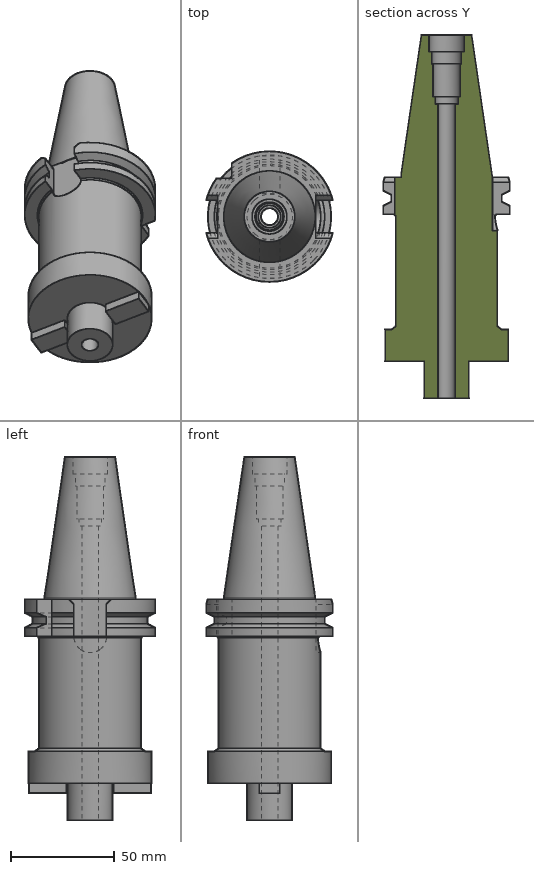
import cadquery as cq

TOTAL_HEIGHT = 176.4
HEAD_BOTTOM = 18.0
HEAD_TOP = 33.5
BODY_BOTTOM = 35.0
FLANGE_BOTTOM = 89.3
FLANGE_TOP = 107.5
GAUGE_LINE = 108.3

PILOT_RADIUS = 11.0
HEAD_RADIUS = 30.0
BODY_RADIUS = 24.9
BODY_FOOT_RADIUS = 26.8
FLANGE_RADIUS = 31.8
GAUGE_RADIUS = 22.2
TAPER_SLOPE = 7 / 48
TAPER_TOP_RADIUS = GAUGE_RADIUS - TAPER_SLOPE * (TOTAL_HEIGHT - GAUGE_LINE)
FLARE = 0.7

GROOVE_RADIUS = 28.0
GROOVE_BOTTOM = 93.5
GROOVE_TOP = 100.7
GROOVE_FLANK = 2.0

THROUGH_RADIUS = 4.0
THREAD_RADIUS = 7.0
THREAD_DEPTH = 14.1
THREAD_CORE_RADIUS = 6.5
THREAD_CORE_DEPTH = 30.0
RELIEF_RADIUS = 5.5
RELIEF_DEPTH = 33.5
COUNTERBORE_RADIUS = 8.5
COUNTERBORE_DEPTH = 8.1

SLOT_HALF_WIDTH = 8.0
SLOT_CHAMFER = 2.5
SHALLOW_SLOT_FLOOR = 25.2
DEEP_SLOT_FLOOR = 22.4
DEEP_SLOT_END = 81.5
CLEARANCE = 1.8

NOTCH_X = -18.3
NOTCH_Y = 18.5

KEY_WIDTH = 10.0
KEY_HEIGHT = 4.8
KEY_INNER = 11.3
KEY_OUTER = 29.6


def turned_body():
    """Pilot, head, body, grooved flange and taper as one revolved profile."""
    profile = [
        (0, 0),
        (PILOT_RADIUS, 0),
        (PILOT_RADIUS, HEAD_BOTTOM),
        (HEAD_RADIUS, HEAD_BOTTOM),
        (HEAD_RADIUS, HEAD_TOP),
        (BODY_FOOT_RADIUS, HEAD_TOP),
        (BODY_RADIUS, BODY_BOTTOM),
        (BODY_RADIUS, FLANGE_BOTTOM - FLARE),
        (BODY_RADIUS + FLARE, FLANGE_BOTTOM),
        (FLANGE_RADIUS, FLANGE_BOTTOM),
        (FLANGE_RADIUS, GROOVE_BOTTOM),
        (GROOVE_RADIUS, GROOVE_BOTTOM + GROOVE_FLANK),
        (GROOVE_RADIUS, GROOVE_TOP - GROOVE_FLANK),
        (FLANGE_RADIUS, GROOVE_TOP),
        (FLANGE_RADIUS, FLANGE_TOP),
        (GAUGE_RADIUS, FLANGE_TOP),
        (GAUGE_RADIUS, GAUGE_LINE),
        (TAPER_TOP_RADIUS, TOTAL_HEIGHT),
        (0, TOTAL_HEIGHT),
    ]
    return cq.Workplane("XZ").polyline(profile).close().revolve(360, (0, 0), (0, 1))


def bore():
    """Through hole with progressively wider bores opening at the top."""
    steps = [
        (RELIEF_RADIUS, RELIEF_DEPTH),
        (THREAD_CORE_RADIUS, THREAD_CORE_DEPTH),
        (THREAD_RADIUS, THREAD_DEPTH),
        (COUNTERBORE_RADIUS, COUNTERBORE_DEPTH),
    ]
    cutter = cq.Workplane("XY").circle(THROUGH_RADIUS).extrude(TOTAL_HEIGHT)
    for radius, depth in steps:
        step = cq.Workplane("XY", origin=(0, 0, TOTAL_HEIGHT)).circle(radius).extrude(-depth)
        cutter = cutter.union(step)
    return cutter


def slot_outline(floor):
    """Open start of a slot outline at x = floor: its mouth and the -Y chamfer."""
    mouth = SLOT_HALF_WIDTH + SLOT_CHAMFER
    return (
        cq.Workplane("YZ", origin=(floor, 0, 0))
        .moveTo(mouth, FLANGE_TOP)
        .lineTo(-mouth, FLANGE_TOP)
        .lineTo(-SLOT_HALF_WIDTH, FLANGE_TOP - SLOT_CHAMFER)
    )


def shallow_slot():
    """Slot on the -X side, ending at the underside of the flange."""
    return (
        slot_outline(-SHALLOW_SLOT_FLOOR)
        .lineTo(-SLOT_HALF_WIDTH, FLANGE_BOTTOM)
        .lineTo(SLOT_HALF_WIDTH, FLANGE_BOTTOM)
        .lineTo(SLOT_HALF_WIDTH, FLANGE_TOP - SLOT_CHAMFER)
        .close()
        .extrude(SHALLOW_SLOT_FLOOR - FLANGE_RADIUS - CLEARANCE)
    )


def deep_slot():
    """Slot on the +X side, running into the body with a round end."""
    arc_level = DEEP_SLOT_END + SLOT_HALF_WIDTH
    return (
        slot_outline(DEEP_SLOT_FLOOR)
        .lineTo(-SLOT_HALF_WIDTH, arc_level)
        .threePointArc((0, DEEP_SLOT_END), (SLOT_HALF_WIDTH, arc_level))
        .lineTo(SLOT_HALF_WIDTH, FLANGE_TOP - SLOT_CHAMFER)
        .close()
        .extrude(FLANGE_RADIUS + CLEARANCE - DEEP_SLOT_FLOOR)
    )


def orientation_notch():
    """Square corner cut through the flange on the -X, +Y side."""
    return (
        cq.Workplane("XY", origin=(0, 0, FLANGE_BOTTOM))
        .moveTo(NOTCH_X, NOTCH_Y)
        .lineTo(NOTCH_X, FLANGE_RADIUS)
        .lineTo(-FLANGE_RADIUS, FLANGE_RADIUS)
        .lineTo(-FLANGE_RADIUS, NOTCH_Y)
        .close()
        .extrude(FLANGE_TOP - FLANGE_BOTTOM)
    )


def drive_keys():
    """Pair of rectangular keys under the head, on the Y axis."""
    key_middle = (KEY_INNER + KEY_OUTER) / 2
    return (
        cq.Workplane("XY", origin=(0, 0, HEAD_BOTTOM))
        .pushPoints([(0, -key_middle), (0, key_middle)])
        .rect(KEY_WIDTH, KEY_OUTER - KEY_INNER)
        .extrude(-KEY_HEIGHT)
    )


result = (
    turned_body()
    .cut(shallow_slot())
    .cut(deep_slot())
    .cut(orientation_notch())
    .union(drive_keys())
    .cut(bore())
)